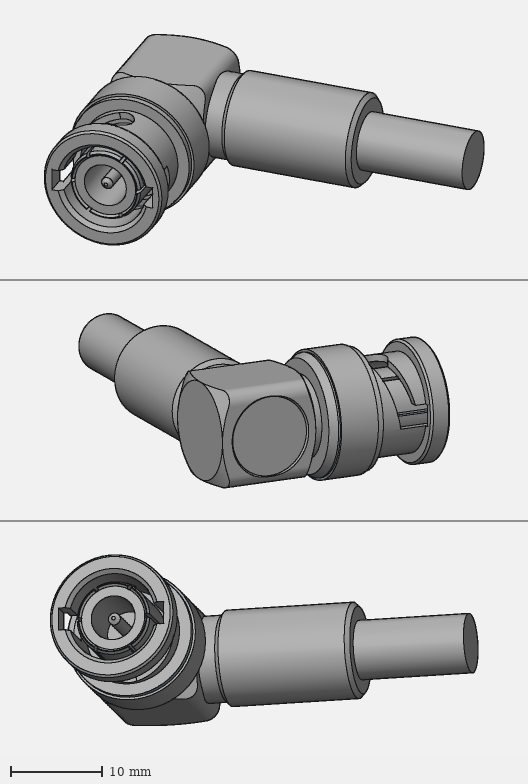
import cadquery as cq
import math


body_width = 11.1
body_edge_radius = 1.53
body_length = 11.4
body_rear_y = 5.86
body_end_cone_degrees = 30
body_end_radius = body_width / 2
plug_cap_radius = 4.68
plug_cap_floor_radius = 4.5
plug_cap_depth = 0.2

cable_neck_radius = 4.79
ferrule_radius = 5.3
ferrule_start_x = 7.5
ferrule_end_x = 22.75
ferrule_chamfer = 0.5
cable_radius = 3.27
cable_end_x = 35.2

plug_neck_radius = 4.74
nut_start = 12.54
nut_cone_length = 0.95
nut_rear_radius = 6.45
nut_rim_radius = 6.96
nut_grip_radius = 7.24
nut_grip_start = 13.71
nut_grip_end = 18.2
nut_end = 18.95

sleeve_radius = 5.64
sleeve_bore_radius = 4.87
flange_start = 24.83
flange_radius = 6.93
flange_chamfer = 0.25
front_end = 27.19
mouth_radius = 5.33
mouth_depth = 0.5

slot_width = 2.48
slot_outer_radius = 5.93
entrance_end = 21.8
ramp_back_start = 21.5
ramp_back_rise = 2.15
ramp_front_start = 23.85
ramp_front_rise = 1.9
ramp_end_degrees = 80
quarter_turn_degrees = 90
lock_hole_radius = 1.55
lock_hole_x = -0.33
lock_hole_station = 21.05

contact_radius = 4.1
contact_crest_outer_radius = 3.88
contact_crest_inner_radius = 3.8
contact_tip_length = 0.4
contact_front = 26.5
insulator_radius = 3.57
insulator_front = 26.25
slit_count = 6
slit_width = 0.4
slit_start = 20.5
socket_radius = 2.47
socket_floor = 19.0
pin_radius = 0.67
pin_tip_radius = 0.2
pin_tip_length = 0.4
pin_front = 26.1


def station(distance):
    """Y coordinate of a point a given distance in front of the body's rear face."""
    return body_rear_y - distance


def turned_about_y(profile):
    """Revolve a closed (radius, distance-from-rear) profile about the plug axis."""
    points = [(radius, station(distance)) for radius, distance in profile]
    return cq.Workplane("XY").polyline(points).close().revolve(360, (0, 0, 0), (0, 1, 0))


def turned_about_x(profile):
    """Revolve a closed (x, radius) profile about the cable axis."""
    return cq.Workplane("XY").polyline(profile).close().revolve(360, (0, 0, 0), (1, 0, 0))


def make_body():
    """Rounded square bar with cone-turned ends and a shallow round recess on its -X face."""
    mid_y = station(body_length / 2)
    bar = (
        cq.Workplane("XY")
        .box(body_width, body_length, body_width)
        .edges("|Y")
        .fillet(body_edge_radius)
        .translate((0, mid_y, 0))
    )
    blank_radius = body_width
    cone_length = (blank_radius - body_end_radius) * math.tan(math.radians(body_end_cone_degrees))
    turned_blank = turned_about_y([
        (0, 0),
        (body_end_radius, 0),
        (blank_radius, cone_length),
        (blank_radius, body_length - cone_length),
        (body_end_radius, body_length),
        (0, body_length),
    ])
    cap_face_x = -body_width / 2
    cap_recess = turned_about_x([
        (cap_face_x, 0),
        (cap_face_x, plug_cap_radius),
        (cap_face_x + plug_cap_depth, plug_cap_floor_radius),
        (cap_face_x + plug_cap_depth, 0),
    ])
    return bar.intersect(turned_blank).cut(cap_recess)


def make_cable_side():
    """Neck, chamfered crimp ferrule and cable along +X."""
    return turned_about_x([
        (0, 0),
        (0, cable_neck_radius),
        (ferrule_start_x, cable_neck_radius),
        (ferrule_start_x + ferrule_chamfer, ferrule_radius),
        (ferrule_end_x - ferrule_chamfer, ferrule_radius),
        (ferrule_end_x, ferrule_radius - ferrule_chamfer),
        (ferrule_end_x, cable_radius),
        (cable_end_x, cable_radius),
        (cable_end_x, 0),
    ])


def make_shell():
    """Plug neck, coupling nut, bayonet sleeve and flange, hollow in front of the nut."""
    return turned_about_y([
        (0, body_length / 2),
        (plug_neck_radius, body_length / 2),
        (plug_neck_radius, nut_start),
        (nut_rear_radius, nut_start),
        (nut_rim_radius, nut_start + nut_cone_length),
        (nut_rim_radius, nut_grip_start),
        (nut_grip_radius, nut_grip_start),
        (nut_grip_radius, nut_grip_end),
        (nut_rim_radius, nut_grip_end),
        (nut_rim_radius, nut_end),
        (sleeve_radius, nut_end),
        (sleeve_radius, flange_start),
        (flange_radius - flange_chamfer, flange_start),
        (flange_radius, flange_start + flange_chamfer),
        (flange_radius, front_end - flange_chamfer),
        (flange_radius - flange_chamfer, front_end),
        (mouth_radius, front_end),
        (sleeve_bore_radius, front_end - mouth_depth),
        (sleeve_bore_radius, nut_end),
        (0, nut_end),
    ])


def make_ramp(inner, outer):
    """Helical cutter between two radii, climbing from the entrance at -X toward +Z."""
    start_degrees = -math.degrees(math.asin(slot_width / 2 / sleeve_radius))
    curve_points = 9

    def helix(radius, start, rise):
        points = []
        for index in range(curve_points):
            degrees = start_degrees + (ramp_end_degrees - start_degrees) * index / (curve_points - 1)
            angle = math.radians(degrees)
            y = station(start - rise * degrees / quarter_turn_degrees)
            points.append(cq.Vector(-radius * math.cos(angle), y, radius * math.sin(angle)))
        return cq.Edge.makeSpline(points)

    back_inner = helix(inner, ramp_back_start, ramp_back_rise)
    back_outer = helix(outer, ramp_back_start, ramp_back_rise)
    front_inner = helix(inner, ramp_front_start, ramp_front_rise)
    front_outer = helix(outer, ramp_front_start, ramp_front_rise)
    loop = [back_inner, back_outer, front_outer, front_inner]
    faces = []
    for index, edge in enumerate(loop):
        faces.append(cq.Face.makeRuledSurface(edge, loop[index - 1]))
    start_corners = [edge.startPoint() for edge in loop]
    end_corners = [edge.endPoint() for edge in loop]
    for corners in (start_corners, end_corners):
        faces.append(cq.Face.makeFromWires(cq.Wire.makePolygon(corners, close=True)))
    return cq.Workplane(obj=cq.Solid.makeSolid(cq.Shell.makeShell(faces)))


def make_bayonet_slot():
    """Straight entrance at -X, ramp climbing toward +Z, and the round locking hole."""
    inner = (contact_radius + sleeve_bore_radius) / 2
    slot_depth = slot_outer_radius - inner
    entrance_length = front_end - entrance_end
    entrance = cq.Workplane("XY").box(slot_depth, entrance_length, slot_width).translate(
        (-(inner + slot_depth / 2), station(front_end - entrance_length / 2), 0)
    )
    lock_hole = (
        cq.Workplane("XY", origin=(lock_hole_x, station(lock_hole_station), inner))
        .circle(lock_hole_radius)
        .extrude(slot_depth)
    )
    return entrance.union(make_ramp(inner, slot_outer_radius)).union(lock_hole)


def make_contact():
    """Slit contact tube filled by the insulator, with a socket around the centre pin."""
    tube = turned_about_y([
        (0, body_length),
        (contact_radius, body_length),
        (contact_radius, contact_front - contact_tip_length),
        (contact_crest_outer_radius, contact_front),
        (contact_crest_inner_radius, contact_front),
        (insulator_radius, insulator_front),
        (0, insulator_front),
    ])
    slit_length = contact_front - slit_start
    slit_depth = contact_radius - insulator_radius
    slit = cq.Workplane("XY").box(2 * slit_depth, slit_length, slit_width).translate(
        (insulator_radius + slit_depth, station(slit_start + slit_length / 2), 0)
    )
    for index in range(slit_count):
        tube = tube.cut(slit.rotate((0, 0, 0), (0, 1, 0), index * 360 / slit_count))
    socket = turned_about_y([
        (0, socket_floor),
        (socket_radius, socket_floor),
        (socket_radius, insulator_front),
        (0, insulator_front),
    ])
    pin = turned_about_y([
        (0, body_length),
        (pin_radius, body_length),
        (pin_radius, pin_front - pin_tip_length),
        (pin_tip_radius, pin_front),
        (0, pin_front),
    ])
    return tube.cut(socket).union(pin)


shell = make_shell()
bayonet_slot = make_bayonet_slot()
shell = shell.cut(bayonet_slot)
shell = shell.cut(bayonet_slot.rotate((0, 0, 0), (0, 1, 0), 180))

result = make_body().union(make_cable_side()).union(shell).union(make_contact())